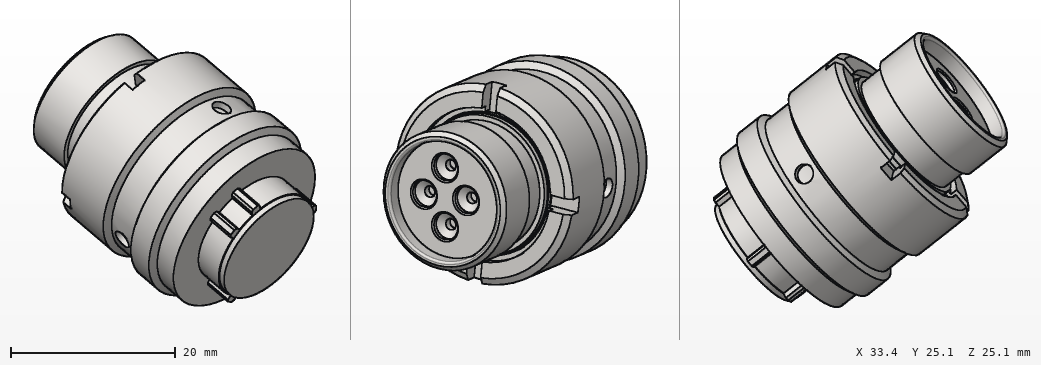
import cadquery as cq

total_length = 33.37

head_radius = 8.68
head_length = 6.0
head_chamfer_length = 0.55
head_chamfer_height = 0.57
neck_radius = 8.08

cavity_radius = 7.47
cavity_depth = 2.0
cavity_lip_radius = 0.3

contact_centre_y = 0.87
contact_pitch_y = 2.97
contact_pitch_z = 3.7
contact_holes = [
    (contact_centre_y, contact_pitch_z),
    (contact_centre_y, -contact_pitch_z),
    (contact_centre_y + contact_pitch_y, 0),
    (contact_centre_y - contact_pitch_y, 0),
]
contact_mouth_radius = 1.87
contact_mouth_chamfer = 0.2
contact_radius = contact_mouth_radius - contact_mouth_chamfer
contact_cone_start = 0.75
contact_cone_end = 1.4
contact_tip_radius = 0.7
contact_tip_depth = 2.4

body_radius = 11.65
grip_radius = 12.55
bevel_length = 0.55
grip_start = 9.35
grip_end = 17.82
collar_start = 21.72
collar_end = 26.03
body_end = 28.93

recess_radius = 9.65
recess_end = 10.25

seat_start = 9.48
seat_radius = 8.7
seat_ring_radius = 8.85
seat_gap_radius = 8.98
seat_ring_end = 10.9

slot_count = 4
slot_width = 2.0
slot_end = 11.3
slot_turn = 5.8

side_hole_count = 3
side_hole_radius = 1.2
side_hole_x = 19.65
side_hole_floor_radius = 10.75
side_hole_turn = -24.2

spigot_radius = 7.55
spigot_end = 32.57
end_disc_radius = 7.37
key_tip_radius = 8.5
key_width = 1.35
key_chamfer = 0.3
key_turns = [10, 38, 138, 192, 270]


def revolve_about_x(profile):
    """Turn a closed (X, radius) outline about the X axis."""
    return cq.Workplane("XY").polyline(profile).close().revolve(360, (0, 0, 0), (1, 0, 0))


def turned(shape, turn):
    """Rotate a feature built at +Z about the connector axis."""
    return shape.rotate((0, 0, 0), (1, 0, 0), turn)


def evenly_spaced(count, first_turn):
    return [first_turn + 360 / count * i for i in range(count)]


def make_sleeve():
    return revolve_about_x([
        (grip_start, 0),
        (grip_start, body_radius),
        (grip_start + bevel_length, grip_radius),
        (grip_end - bevel_length, grip_radius),
        (grip_end, body_radius),
        (collar_start, body_radius),
        (collar_start + bevel_length, grip_radius),
        (collar_end - bevel_length, grip_radius),
        (collar_end, body_radius),
        (body_end, body_radius),
        (body_end, 0),
    ])


def make_recess():
    """Front recess, continued by a narrower bore that leaves a thin gap around the seat."""
    return revolve_about_x([
        (grip_start, 0),
        (grip_start, recess_radius),
        (recess_end, recess_radius),
        (recess_end, seat_gap_radius),
        (slot_end, seat_gap_radius),
        (slot_end, 0),
    ])


def make_slot():
    """Slot through the front of the sleeve, running from the axis out to +Z."""
    return (
        cq.Workplane("XY")
        .box(slot_end - grip_start, slot_width, grip_radius, centered=(False, True, False))
        .translate((grip_start, 0, 0))
    )


def make_side_hole():
    """Round hole towards +Z whose floor is a cylinder about the connector axis."""
    drill = cq.Workplane("XY", origin=(side_hole_x, 0, 0)).circle(side_hole_radius).extrude(grip_radius)
    core = (
        cq.Workplane("YZ", origin=(grip_end, 0, 0))
        .circle(side_hole_floor_radius)
        .extrude(collar_start - grip_end)
    )
    return drill.cut(core)


def make_barrel():
    """Head, neck and the stepped seat that closes the inside of the slots."""
    return revolve_about_x([
        (0, 0),
        (0, head_radius - head_chamfer_height),
        (head_chamfer_length, head_radius),
        (head_length, head_radius),
        (head_length, neck_radius),
        (seat_start, neck_radius),
        (seat_start, seat_radius),
        (recess_end, seat_radius),
        (recess_end, seat_ring_radius),
        (seat_ring_end, seat_ring_radius),
        (seat_ring_end, seat_radius),
        (slot_end, seat_radius),
        (slot_end, 0),
    ])


def make_cavity():
    """Front cavity whose mouth flares out over a rounded lip."""
    lip = cavity_lip_radius
    lip_middle = lip * (1 - 0.5 ** 0.5)
    return (
        cq.Workplane("XY")
        .moveTo(0, 0)
        .lineTo(0, cavity_radius + lip)
        .threePointArc((lip_middle, cavity_radius + lip_middle), (lip, cavity_radius))
        .lineTo(cavity_depth, cavity_radius)
        .lineTo(cavity_depth, 0)
        .close()
        .revolve(360, (0, 0, 0), (1, 0, 0))
    )


def make_contact_hole():
    """Chamfered mouth, straight bore, cone and small tip bore."""
    return revolve_about_x([
        (0, 0),
        (0, contact_mouth_radius),
        (contact_mouth_chamfer, contact_radius),
        (contact_cone_start, contact_radius),
        (contact_cone_end, contact_tip_radius),
        (contact_tip_depth, contact_tip_radius),
        (contact_tip_depth, 0),
    ]).translate((cavity_depth, 0, 0))


def make_spigot():
    return revolve_about_x([
        (body_end, 0),
        (body_end, spigot_radius),
        (spigot_end, spigot_radius),
        (spigot_end, end_disc_radius),
        (total_length, end_disc_radius),
        (total_length, 0),
    ])


def make_key():
    """Rib along the spigot with two chamfered outer edges, pointing to +Z."""
    return (
        cq.Workplane("XY")
        .box(spigot_end - body_end, key_width, key_tip_radius, centered=(False, True, False))
        .edges("|X and >Z")
        .chamfer(key_chamfer)
        .translate((body_end, 0, 0))
    )


sleeve = make_sleeve().cut(make_recess())
for turn in evenly_spaced(slot_count, slot_turn):
    sleeve = sleeve.cut(turned(make_slot(), turn))
for turn in evenly_spaced(side_hole_count, side_hole_turn):
    sleeve = sleeve.cut(turned(make_side_hole(), turn))

barrel = make_barrel().cut(make_cavity())
for y, z in contact_holes:
    barrel = barrel.cut(make_contact_hole().translate((0, y, z)))

spigot = make_spigot()
for turn in key_turns:
    spigot = spigot.union(turned(make_key(), turn))

result = sleeve.union(barrel).union(spigot)